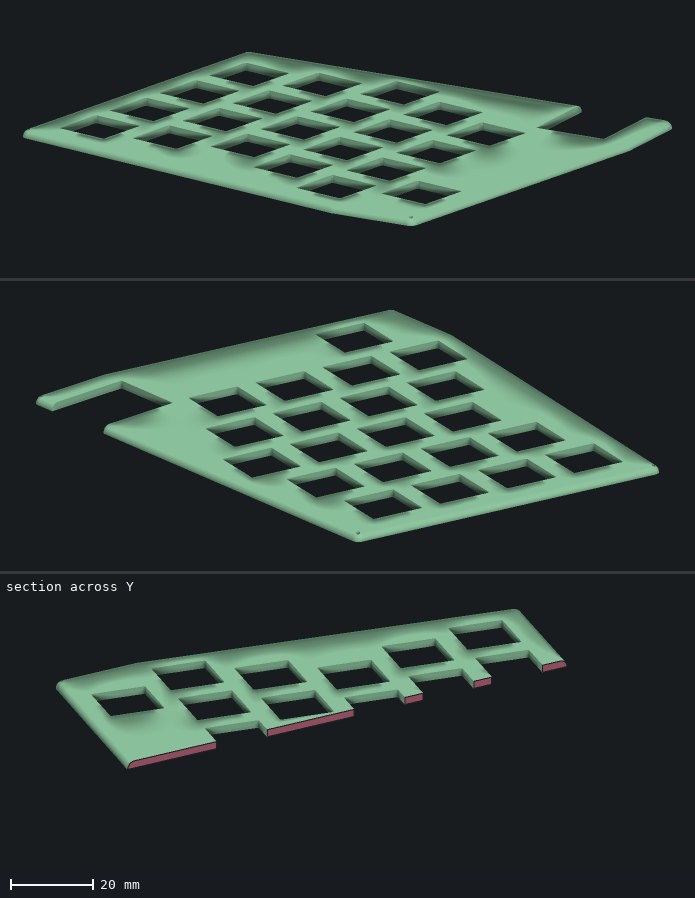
import cadquery as cq
import math

length = 134.5
width = 103.6
thickness = 2.0
half_length = length / 2
half_width = width / 2

tilt_deg = 10.0
tilt = math.radians(tilt_deg)

left_side_offset = 60.7
right_bend_y = 29.3
front_right_x = 52.6
front_bend_x = 29.9
front_left_y = -33.6
corner_radius = 1.9
bottom_land = 0.07
edge_round = thickness - bottom_land

pin_inset = 1.5
pin_hole_diameter = 1.0

notch_left_x = 41.2
notch_width = 19.0
notch_depth = 22.5

key_size = 14.0
key_corner_radius = 0.4
column_span = 95.2
column_steps = 5
key_pitch = column_span / column_steps
keys_per_column = 4
first_column_u = -46.8
first_column_v = -31.1

ring_stagger = key_pitch / 4
finger_stagger = 0.35 * key_pitch
thumb_stagger = key_pitch / 2
column_offsets = [
    0,
    ring_stagger,
    ring_stagger + finger_stagger,
    ring_stagger,
    ring_stagger - finger_stagger,
]
thumb_offset = column_offsets[-1] + thumb_stagger


def left_side_x(y):
    """X of the slanted left side at a given Y."""
    return (y * math.sin(tilt) - left_side_offset) / math.cos(tilt)


def outline_points():
    """Sharp corners of the outline, clockwise from the back left."""
    back_left = (left_side_x(half_width), half_width)
    back_right = (half_length, half_width)
    right_bend = (half_length, right_bend_y)
    front_right = (front_right_x, -half_width)
    front_bend = (front_bend_x, -half_width)
    front_left = (left_side_x(front_left_y), front_left_y)
    return [back_left, back_right, right_bend, front_right, front_bend, front_left]


def from_tilted(u, v):
    """Convert tilted layout coordinates to plate X and Y."""
    x = u * math.cos(tilt) + v * math.sin(tilt)
    y = v * math.cos(tilt) - u * math.sin(tilt)
    return x, y


def unit_vector(start, end):
    """Unit direction from one plan point to another."""
    dx = end[0] - start[0]
    dy = end[1] - start[1]
    size = math.hypot(dx, dy)
    return dx / size, dy / size


def pin_position(before, corner, after):
    """Point inside a corner at the pin inset from both sides."""
    ax, ay = unit_vector(corner, before)
    bx, by = unit_vector(corner, after)
    sine = abs(ax * by - ay * bx)
    reach = pin_inset / sine
    return corner[0] + reach * (ax + bx), corner[1] + reach * (ay + by)


def key_positions():
    """Centres of the key openings: staggered columns plus one thumb key."""
    positions = []
    for column, offset in enumerate(column_offsets):
        u = first_column_u + column * key_pitch
        for row in range(keys_per_column):
            positions.append(from_tilted(u, first_column_v + offset + row * key_pitch))
    thumb_u = first_column_u + column_span
    positions.append(from_tilted(thumb_u, first_column_v + thumb_offset))
    return positions


back_left, back_right, right_bend, front_right, front_bend, front_left = outline_points()
rounded_corners = [
    (front_left, back_left, back_right),
    (back_left, back_right, right_bend),
    (right_bend, front_right, front_bend),
    (front_bend, front_left, back_left),
]
plate = cq.Workplane("XY").polyline(outline_points()).close().extrude(thickness)
for before, corner, after in rounded_corners:
    corner_edge = cq.selectors.NearestToPointSelector((corner[0], corner[1], thickness / 2))
    plate = plate.edges("|Z").edges(corner_edge).fillet(corner_radius)
plate = plate.faces(">Z").edges().fillet(edge_round)

pin_positions = [pin_position(*corner) for corner in rounded_corners]
pin_holes = (
    cq.Workplane("XY")
    .pushPoints(pin_positions)
    .circle(pin_hole_diameter / 2)
    .extrude(thickness)
)

notch = (
    cq.Workplane("XY")
    .moveTo(notch_left_x, half_width - notch_depth)
    .rect(notch_width, notch_depth, centered=False)
    .extrude(thickness)
)

key_openings = (
    cq.Workplane("XY")
    .pushPoints(key_positions())
    .sketch()
    .rect(key_size, key_size, angle=-tilt_deg)
    .vertices()
    .fillet(key_corner_radius)
    .finalize()
    .extrude(thickness)
)

result = plate.cut(pin_holes).cut(notch).cut(key_openings)